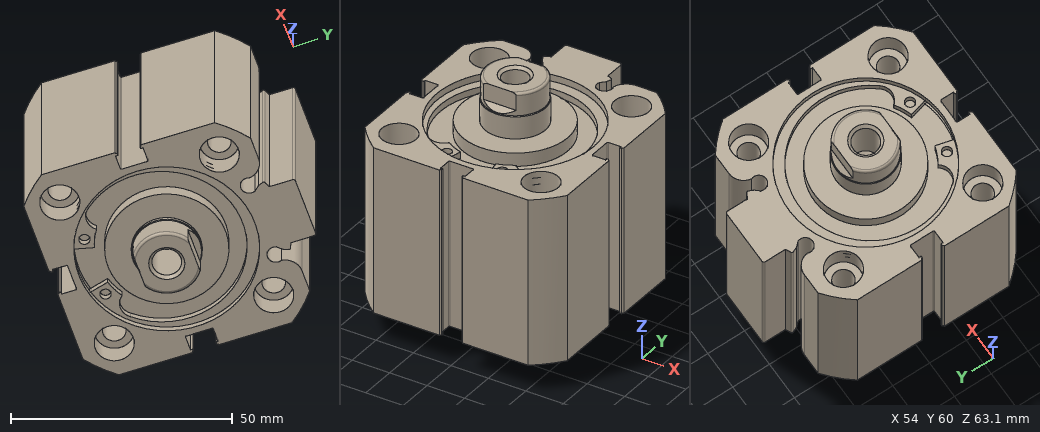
import cadquery as cq
import math

side = 54.0
body_height = 44.0
corner_radius = 33.95
half_side = side / 2
half_height = body_height / 2

bore_radius = 20.9
ring_groove_radius = 22.2

rail_width = 15.1
rail_top = 33.0
rail_edge_radius = 0.5

relief_radius = 2.0
relief_x = 9.4
relief_y = 22.8
cusp_y = 23.5
lobe_radius = 4.05
lobe_reach = 5.75
barb_tip_x = 9.2
barb_tip_y = 26.2
barb_tip_radius = 0.4
barb_heel_x = 8.55
barb_heel_y = 24.7

slot_width = 6.55
slot_depth = 4.5
slot_floor_radius = 0.25
mouth_width = 5.4
lip_thickness = 0.9
lip_radius = 0.4

hole_offset = 18.95
hole_diameter = 5.3
counterbore_diameter = 9.0
counterbore_depth = 6.0

cover_thickness = 13.0
boss_radius = 14.0
boss_height = 3.5

ring_thickness = 1.75
ring_inner_radius = 19.2
ring_inner_shift = 1.2
lug_radius = 16.3
lug_tip_x = 4.65
lug_root_x = 8.95
lug_outer_x = 6.1
lug_hollow_x = 11.65
lug_hollow_y = -15.05
lug_hollow_end_x = 14.6
lug_hole_x = 7.4
lug_hole_y = -17.1
lug_hole_diameter = 2.5

rod_radius = 8.0
rod_edge_chamfer = 0.2
tip_radius = 7.8
tip_length = 6.0
tip_fillet = 0.6
rod_top_reach = 12.05
rod_bottom_reach = 7.0
across_flats = 13.0
flat_length = 4.55
tap_diameter = 6.7
tap_depth = 13.0
tap_mouth_diameter = 8.1
drill_point_angle = 118


def point_below_axis(radius, x):
    """Point at the given x on the lower half of a circle about the axis."""
    return (x, -math.sqrt(radius ** 2 - x ** 2))


def relief_groove():
    """Groove on the +X side of the rail: a round bottom, a barbed inner wall and a rounded shoulder."""
    lobe_x = relief_x + lobe_reach
    lobe_y = half_side - lobe_radius
    cusp_x = lobe_x - math.sqrt(lobe_radius ** 2 - (cusp_y - lobe_y) ** 2)
    lobe_middle = (lobe_x - lobe_radius * math.sqrt(0.5), lobe_y + lobe_radius * math.sqrt(0.5))
    heel_foot_x = relief_x - math.sqrt(relief_radius ** 2 - (cusp_y - relief_y) ** 2)
    groove = (
        cq.Workplane("XY")
        .workplane(offset=-half_height)
        .moveTo(lobe_x, half_side)
        .threePointArc(lobe_middle, (cusp_x, cusp_y))
        .threePointArc((relief_x, relief_y - relief_radius), (heel_foot_x, cusp_y))
        .lineTo(barb_heel_x, barb_heel_y)
        .lineTo(barb_tip_x, barb_tip_y)
        .lineTo(rail_width / 2, half_side)
        .close()
        .extrude(body_height)
    )
    barb_tip = cq.selectors.NearestToPointSelector((barb_tip_x, barb_tip_y, 0))
    return groove.edges("|Z").edges(barb_tip).fillet(barb_tip_radius)


def sensor_slot():
    """T-slot along Z cut into the -Y face."""
    cavity_depth = slot_depth - lip_thickness
    cavity = (
        cq.Workplane("XY")
        .box(slot_width, cavity_depth, body_height)
        .edges("|Z and >Y")
        .fillet(slot_floor_radius)
        .translate((0, -half_side + lip_thickness + cavity_depth / 2, 0))
    )
    half_mouth = mouth_width / 2
    mouth = (
        cq.Workplane("XY")
        .workplane(offset=-half_height)
        .moveTo(-half_mouth - lip_radius, -half_side)
        .radiusArc((-half_mouth, -half_side + lip_radius), lip_radius)
        .lineTo(-half_mouth, -half_side + lip_thickness)
        .lineTo(half_mouth, -half_side + lip_thickness)
        .lineTo(half_mouth, -half_side + lip_radius)
        .radiusArc((half_mouth + lip_radius, -half_side), lip_radius)
        .close()
        .extrude(body_height)
    )
    return cavity.union(mouth)


def make_housing():
    block = (
        cq.Workplane("XY")
        .box(side, side, body_height)
        .intersect(cq.Workplane("XY").cylinder(body_height, corner_radius))
    )
    rail = (
        cq.Workplane("XY")
        .box(rail_width, rail_top - bore_radius, body_height)
        .edges("|Z and >Y")
        .fillet(rail_edge_radius)
        .translate((0, (rail_top + bore_radius) / 2, 0))
    )
    body = block.union(rail)

    groove = relief_groove()
    body = body.cut(groove).cut(groove.mirror("YZ"))

    for angle in (-90, 0, 90):
        body = body.cut(sensor_slot().rotate((0, 0, 0), (0, 0, 1), angle))

    body = body.cut(cq.Workplane("XY").cylinder(body_height, bore_radius))

    ring_groove = (
        cq.Workplane("XY")
        .workplane(offset=half_height - boss_height)
        .circle(ring_groove_radius)
        .extrude(ring_thickness)
    )
    body = body.cut(ring_groove).cut(ring_groove.mirror("XY"))

    for face in ("<Z", ">Z"):
        body = (
            body.faces(face)
            .workplane(origin=(0, 0, 0))
            .rect(2 * hole_offset, 2 * hole_offset, forConstruction=True)
            .vertices()
            .cboreHole(hole_diameter, counterbore_diameter, counterbore_depth)
        )
    return body


def make_cover():
    """Top end cover: a disc with a central boss flush with the body's top face."""
    flange_top = half_height - boss_height
    return (
        cq.Workplane("XY")
        .workplane(offset=flange_top)
        .circle(bore_radius)
        .extrude(-cover_thickness)
        .faces(">Z")
        .workplane()
        .circle(boss_radius)
        .extrude(boss_height)
        .faces(">Z")
        .workplane()
        .hole(2 * rod_radius)
    )


def make_ring():
    """Top retaining ring: an open ring lying on the cover, with a drilled lug at each end."""
    tip_x, tip_y = point_below_axis(lug_radius, lug_tip_x)
    root_x, root_y = point_below_axis(lug_radius, lug_root_x)
    middle = point_below_axis(lug_radius, (lug_tip_x + lug_root_x) / 2)
    outer_x, outer_y = point_below_axis(ring_groove_radius, lug_outer_x)
    hollow_end_x, hollow_end_y = point_below_axis(ring_inner_radius, lug_hollow_end_x)
    hollow_end_y -= ring_inner_shift
    return (
        cq.Workplane("XY")
        .workplane(offset=half_height - boss_height)
        .moveTo(outer_x, outer_y)
        .threePointArc((0, ring_groove_radius), (-outer_x, outer_y))
        .lineTo(-tip_x, tip_y)
        .threePointArc((-middle[0], middle[1]), (-root_x, root_y))
        .threePointArc((-lug_hollow_x, lug_hollow_y), (-hollow_end_x, hollow_end_y))
        .threePointArc((0, ring_inner_radius - ring_inner_shift), (hollow_end_x, hollow_end_y))
        .threePointArc((lug_hollow_x, lug_hollow_y), (root_x, root_y))
        .threePointArc(middle, (tip_x, tip_y))
        .close()
        .pushPoints([(-lug_hole_x, lug_hole_y), (lug_hole_x, lug_hole_y)])
        .circle(lug_hole_diameter / 2)
        .extrude(ring_thickness)
    )


def make_rod_end(end_z):
    """Rod from the mid plane Z = 0 up to its tip at end_z."""
    shoulder_z = end_z - tip_length
    shank = cq.Workplane("XY").circle(rod_radius).extrude(shoulder_z)
    shank = shank.faces(">Z").chamfer(rod_edge_chamfer)
    tip = cq.Workplane("XY").workplane(offset=shoulder_z).circle(tip_radius).extrude(tip_length)
    tip = tip.faces(">Z").edges().fillet(tip_fillet)
    rod_end = shank.union(tip)

    half_flats = across_flats / 2
    flat_bottom = end_z - flat_length
    runout = tip_radius - half_flats
    flat = (
        cq.Workplane("YZ")
        .moveTo(half_flats, end_z)
        .lineTo(half_flats, flat_bottom)
        .lineTo(half_flats + runout, flat_bottom - runout)
        .lineTo(half_flats + runout, end_z)
        .close()
        .extrude(tip_radius, both=True)
    )
    rod_end = rod_end.cut(flat).cut(flat.mirror("XZ"))

    tap_radius = tap_diameter / 2
    mouth_radius = tap_mouth_diameter / 2
    point_length = tap_radius / math.tan(math.radians(drill_point_angle / 2))
    tapped_hole = (
        cq.Workplane("XZ")
        .moveTo(0, end_z)
        .lineTo(mouth_radius, end_z)
        .lineTo(tap_radius, end_z - (mouth_radius - tap_radius))
        .lineTo(tap_radius, end_z - tap_depth)
        .lineTo(0, end_z - tap_depth - point_length)
        .close()
        .revolve(360, (0, 0, 0), (0, 1, 0))
    )
    return rod_end.cut(tapped_hole)


def make_rod():
    lower_end = make_rod_end(half_height + rod_bottom_reach).mirror("XY")
    return make_rod_end(half_height + rod_top_reach).union(lower_end)


housing = make_housing()
rod = make_rod()

covers = []
rings = []
for flipped in (False, True):
    cover = make_cover()
    ring = make_ring()
    covers.append(cover.mirror("XY") if flipped else cover)
    rings.append(ring.mirror("XY") if flipped else ring)

bodies = [housing, rod, *covers, *rings]
result = cq.Compound.makeCompound([body.solids().val() for body in bodies])